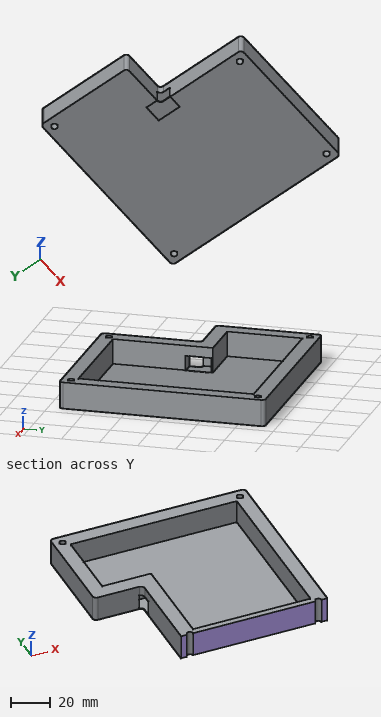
import cadquery as cq

side = 108.0
height = 14.0
wall = 8.0
floor = 0.9
corner_radius = 2.0

notch_x = 27.0
notch_y = 52.5

hole_diameter = 3.3
hole_inset = 5.0

opening_below_corner = 6.5
opening_past_corner = 7.0
opening_bottom = 0.5
opening_top = 8.5


def l_prism(inset, base_z, top_z):
    """L-shaped prism whose outline lies inside the tray outline by the given inset."""
    low = inset
    high = side - inset
    step_x = notch_x + inset
    step_y = notch_y + inset
    outline = [
        (step_x, low),
        (high, low),
        (high, high),
        (low, high),
        (low, step_y),
        (step_x, step_y),
    ]
    return cq.Workplane("XY").workplane(offset=base_z).polyline(outline).close().extrude(top_z - base_z)


def screw_holes():
    """Cylinders through the rim in four of its outer corners."""
    near = hole_inset
    far = side - hole_inset
    centers = [(near, far), (far, far), (far, near), (notch_x + hole_inset, near)]
    return cq.Workplane("XY").pushPoints(centers).circle(hole_diameter / 2).extrude(height)


def cable_opening():
    """Box through the notch's X wall into the cavity, also cut blind into its Y wall at the corner."""
    size_x = corner_radius + wall
    size_y = opening_below_corner + opening_past_corner
    return (
        cq.Workplane("XY")
        .box(size_x, size_y, opening_top - opening_bottom, centered=False)
        .translate((notch_x - corner_radius, notch_y - opening_below_corner, opening_bottom))
    )


body = l_prism(0, 0, height).edges("|Z").fillet(corner_radius)
cavity = l_prism(wall, floor, height)
result = body.cut(cavity).cut(screw_holes()).cut(cable_opening())